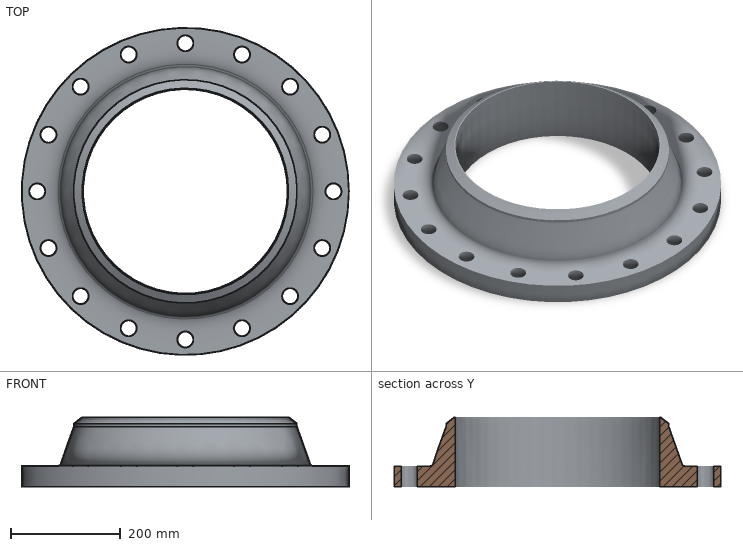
import cadquery as cq


flange_diameter = 597.0
flange_thickness = 38.0
total_height = 127.0

bolt_count = 16
bolt_circle_diameter = 540.0
bolt_hole_diameter = 28.5

bore_diameter = 372.5
hub_base_diameter = 457.5
neck_diameter = 407.0
neck_straight_height = 5.5
bevel_height = 12.0
weld_land_width = 2.0
hub_fillet_radius = 5.0

flange_radius = flange_diameter / 2
bore_radius = bore_diameter / 2
hub_base_radius = hub_base_diameter / 2
neck_radius = neck_diameter / 2
bevel_start_level = total_height - bevel_height
taper_end_level = bevel_start_level - neck_straight_height


def flange_body():
    """Plate, hub and neck revolved around Z, with the hub root filleted."""
    profile = (
        cq.Workplane("XZ")
        .moveTo(bore_radius, 0)
        .lineTo(flange_radius, 0)
        .lineTo(flange_radius, flange_thickness)
        .lineTo(hub_base_radius, flange_thickness)
        .lineTo(neck_radius, taper_end_level)
        .lineTo(neck_radius, bevel_start_level)
        .lineTo(bore_radius + weld_land_width, total_height)
        .lineTo(bore_radius, total_height)
        .close()
    )
    body = profile.revolve(360, (0, 0, 0), (0, 1, 0))
    margin = hub_fillet_radius / 2
    reach = hub_base_radius + margin
    hub_root = cq.selectors.BoxSelector(
        (-reach, -reach, flange_thickness - margin),
        (reach, reach, flange_thickness + margin),
        boundingbox=True,
    )
    return body.edges(hub_root).fillet(hub_fillet_radius)


def bolt_holes():
    """Cylinders that cut the bolt holes through the plate, the first on +X."""
    return (
        cq.Workplane("XY")
        .polarArray(bolt_circle_diameter / 2, 0, 360, bolt_count)
        .circle(bolt_hole_diameter / 2)
        .extrude(flange_thickness)
    )


result = flange_body().cut(bolt_holes())